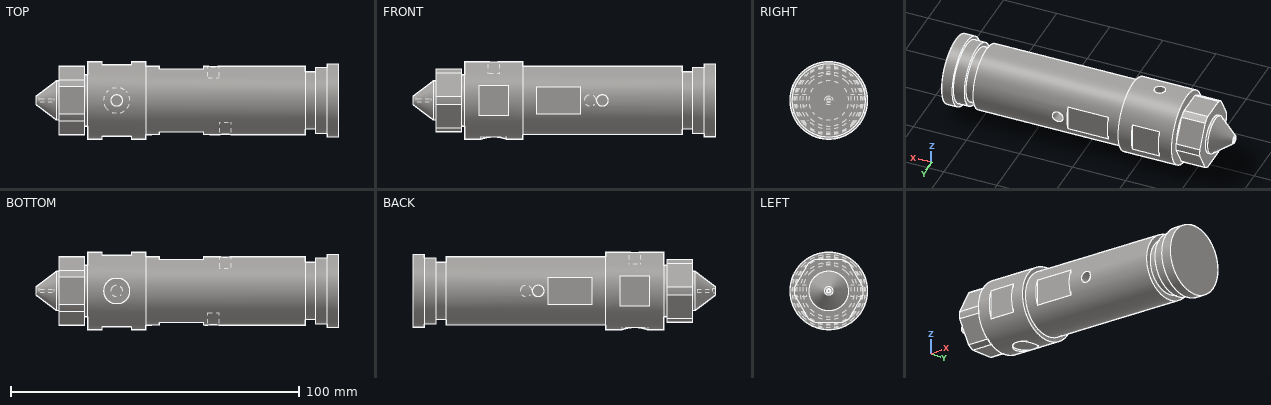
import cadquery as cq

cone_end = 7.1
hex_start = 8.0
hex_end = 16.9
collar_start = 18.0
collar_end = 38.1
body_end = 93.5
groove_end = 96.9
flange_start = 101.0
total_length = 105.0

tip_diameter = 2.9
cone_diameter = 13.8
neck_diameter = 18.0
collar_diameter = 27.0
body_diameter = 23.8
groove_diameter = 20.0
ring_diameter = 23.0
flange_diameter = 25.4

hex_across_flats = 21.8

collar_flat_length = 10.2
collar_flat_spacing = 24.9
body_flat_start = 42.8
body_flat_length = 15.2
body_flat_spacing = 21.9

radial_hole_diameter = 4.0
radial_hole_depth = 4.2
front_hole_x = 65.7
back_hole_x = 61.5
spot_face_diameter = 9.0
spot_face_depth = 0.7

orifice_mouth_diameter = 1.6
orifice_mouth_depth = 1.0
orifice_diameter = 1.0
orifice_depth = 6.3

collar_middle = (collar_start + collar_end) / 2
AXIS_X = cq.Vector(1, 0, 0)


def x_cylinder(diameter, start, end):
    """Cylinder on the X axis between two stations."""
    return cq.Solid.makeCylinder(diameter / 2, end - start, cq.Vector(start, 0, 0), AXIS_X)


def radial_cutter(diameter, depth, x, surface_diameter, outward):
    """Cylinder sunk from the surface toward the axis."""
    start = cq.Vector(x, 0, 0) + outward * (surface_diameter / 2 - depth)
    return cq.Solid.makeCylinder(diameter / 2, depth + surface_diameter, start, outward)


def flat_cutters(x, length, spacing, diameter):
    """Pair of boxes that leave opposite flats the given spacing apart."""
    depth = (diameter - spacing) / 2
    return (
        cq.Workplane("XY")
        .pushPoints([(x, side * (spacing + depth) / 2) for side in (-1, 1)])
        .box(length, depth, diameter)
    )


nozzle = cq.Solid.makeCone(tip_diameter / 2, cone_diameter / 2, cone_end, cq.Vector(0, 0, 0), AXIS_X)
result = cq.Workplane(nozzle)
for diameter, start, end in [
    (cone_diameter, cone_end, hex_start),
    (neck_diameter, hex_start, collar_start),
    (collar_diameter, collar_start, collar_end),
    (body_diameter, collar_end, body_end),
    (groove_diameter, body_end, groove_end),
    (ring_diameter, groove_end, flange_start),
    (flange_diameter, flange_start, total_length),
]:
    result = result.union(cq.Workplane(x_cylinder(diameter, start, end)))

hexagon = (
    cq.Workplane("YZ", origin=(hex_start, 0, 0))
    .polygon(6, hex_across_flats, circumscribed=True)
    .extrude(hex_end - hex_start)
    .rotate((0, 0, 0), (1, 0, 0), 90)
    .intersect(cq.Workplane(x_cylinder(body_diameter, hex_start, hex_end)))
)
result = result.union(hexagon)

result = result.cut(flat_cutters(collar_middle, collar_flat_length, collar_flat_spacing, collar_diameter))
body_flat_middle = body_flat_start + body_flat_length / 2
result = result.cut(flat_cutters(body_flat_middle, body_flat_length, body_flat_spacing, body_diameter))

for diameter, depth, x, surface_diameter, outward in [
    (radial_hole_diameter, radial_hole_depth, collar_middle, collar_diameter, cq.Vector(0, 0, 1)),
    (radial_hole_diameter, radial_hole_depth, front_hole_x, body_diameter, cq.Vector(0, -1, 0)),
    (radial_hole_diameter, radial_hole_depth, back_hole_x, body_diameter, cq.Vector(0, 1, 0)),
    (spot_face_diameter, spot_face_depth, collar_middle, collar_diameter, cq.Vector(0, 0, -1)),
]:
    result = result.cut(cq.Workplane(radial_cutter(diameter, depth, x, surface_diameter, outward)))

result = result.cut(cq.Workplane(x_cylinder(orifice_mouth_diameter, 0, orifice_mouth_depth)))
result = result.cut(cq.Workplane(x_cylinder(orifice_diameter, 0, orifice_depth)))